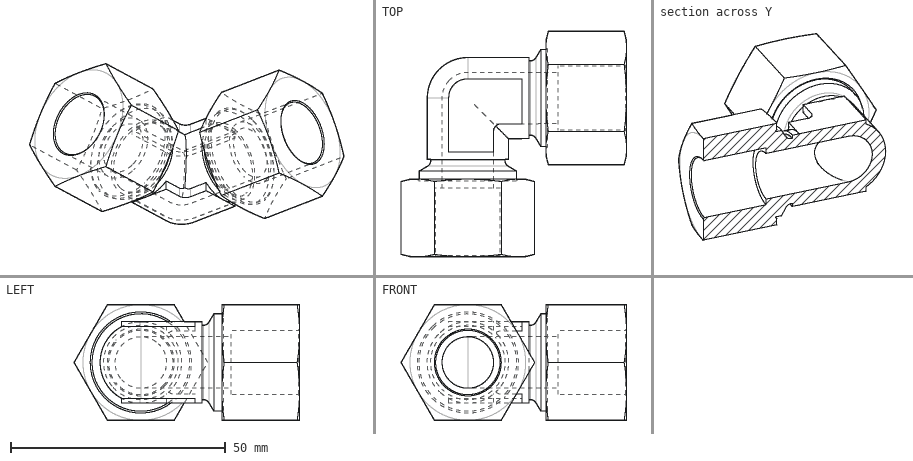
import cadquery as cq
import math


body_radius = 19.0 / 2
body_arm_length = 14.3
bore_radius = 12.0 / 2
socket_radius = 15.0 / 2
socket_floor = 21.0

neck_radius = 17.39 / 2
collar_radius = 22.74 / 2
collar_start = 17.0
flare_angle = math.radians(60)
flare_root_radius = 1.5

nut_across_flats = 27.0
nut_end = 37.0
x_nut_start = 18.2
y_nut_start = 18.9
nut_corner_diameter = nut_across_flats / math.cos(math.pi / 6)
nut_chamfer_angle = math.radians(15)
nut_mouth_radius = 23.6 / 2
nut_mouth_depth = nut_mouth_radius - collar_radius
entry_radius = 15.6 / 2
entry_depth = entry_radius - socket_radius

pad_outer = 4.45
pad_inner = 6.0
pad_end = 12.6
pad_outer_fillet = 4.3
pad_inner_fillet = 1.8

X_ARM_TURN = 0
Y_ARM_TURN = -90


def revolve_about_x(profile):
    return profile.close().revolve(360, (0, 0, 0), (1, 0, 0))


def neck_and_collar():
    """Narrow neck that curves into a conical flare up to the collar inside the nut."""
    flare_foot = collar_start - (collar_radius - neck_radius) / math.tan(flare_angle)
    root_start = flare_foot - flare_root_radius * math.tan(flare_angle / 2)
    root_centre_height = neck_radius + flare_root_radius

    def root_point(angle):
        """Point on the root arc, turned by the angle from where it leaves the neck."""
        return (
            root_start + flare_root_radius * math.sin(angle),
            root_centre_height - flare_root_radius * math.cos(angle),
        )

    return revolve_about_x(
        cq.Workplane("XY")
        .lineTo(0, neck_radius)
        .lineTo(*root_point(0))
        .threePointArc(root_point(flare_angle / 2), root_point(flare_angle))
        .lineTo(collar_start, collar_radius)
        .lineTo(nut_end, collar_radius)
        .lineTo(nut_end, 0)
    )


def nut(start):
    """Hexagon nut with both ends turned conical and a countersunk mouth."""
    flat_radius = nut_across_flats / 2
    corner_radius = nut_corner_diameter / 2
    chamfer_length = (corner_radius - flat_radius) * math.tan(nut_chamfer_angle)
    hexagon = (
        cq.Workplane("YZ")
        .workplane(offset=start)
        .polygon(6, nut_corner_diameter)
        .extrude(nut_end - start)
    )
    turned_blank = revolve_about_x(
        cq.Workplane("XY")
        .moveTo(start, 0)
        .lineTo(start, flat_radius)
        .lineTo(start + chamfer_length, corner_radius)
        .lineTo(nut_end - chamfer_length, corner_radius)
        .lineTo(nut_end, flat_radius)
        .lineTo(nut_end, 0)
    )
    mouth = revolve_about_x(
        cq.Workplane("XY")
        .moveTo(start, 0)
        .lineTo(start, nut_mouth_radius)
        .lineTo(start + nut_mouth_depth, collar_radius)
        .lineTo(start + nut_mouth_depth, 0)
    )
    return hexagon.intersect(turned_blank).cut(mouth)


def arm(nut_start):
    barrel = cq.Workplane("YZ").circle(body_radius).extrude(body_arm_length)
    return barrel.union(nut(nut_start)).union(neck_and_collar())


def arm_bore():
    """Flow bore, tube socket and the broken edge where the tube enters."""
    return revolve_about_x(
        cq.Workplane("XY")
        .lineTo(0, bore_radius)
        .lineTo(socket_floor, bore_radius)
        .lineTo(socket_floor, socket_radius)
        .lineTo(nut_end - entry_depth, socket_radius)
        .lineTo(nut_end, entry_radius)
        .lineTo(nut_end, 0)
    )


def pads():
    """L-shaped block whose flat ends stand proud of the round body."""
    return (
        cq.Workplane("XY")
        .workplane(offset=-body_radius)
        .moveTo(-pad_outer, pad_outer)
        .lineTo(pad_end, pad_outer)
        .lineTo(pad_end, -pad_inner)
        .lineTo(pad_inner, -pad_inner)
        .lineTo(pad_inner, -pad_end)
        .lineTo(-pad_outer, -pad_end)
        .close()
        .extrude(2 * body_radius)
        .edges(cq.selectors.NearestToPointSelector((-pad_outer, pad_outer, 0)))
        .fillet(pad_outer_fillet)
        .edges(cq.selectors.NearestToPointSelector((pad_inner, -pad_inner, 0)))
        .fillet(pad_inner_fillet)
    )


def turned(shape, angle):
    return shape.rotate((0, 0, 0), (0, 0, 1), angle)


solid = cq.Workplane("XY").sphere(body_radius).union(pads())
cavity = cq.Workplane("XY").sphere(bore_radius)
for angle, nut_start in ((X_ARM_TURN, x_nut_start), (Y_ARM_TURN, y_nut_start)):
    solid = solid.union(turned(arm(nut_start), angle))
    cavity = cavity.union(turned(arm_bore(), angle))

result = solid.cut(cavity)